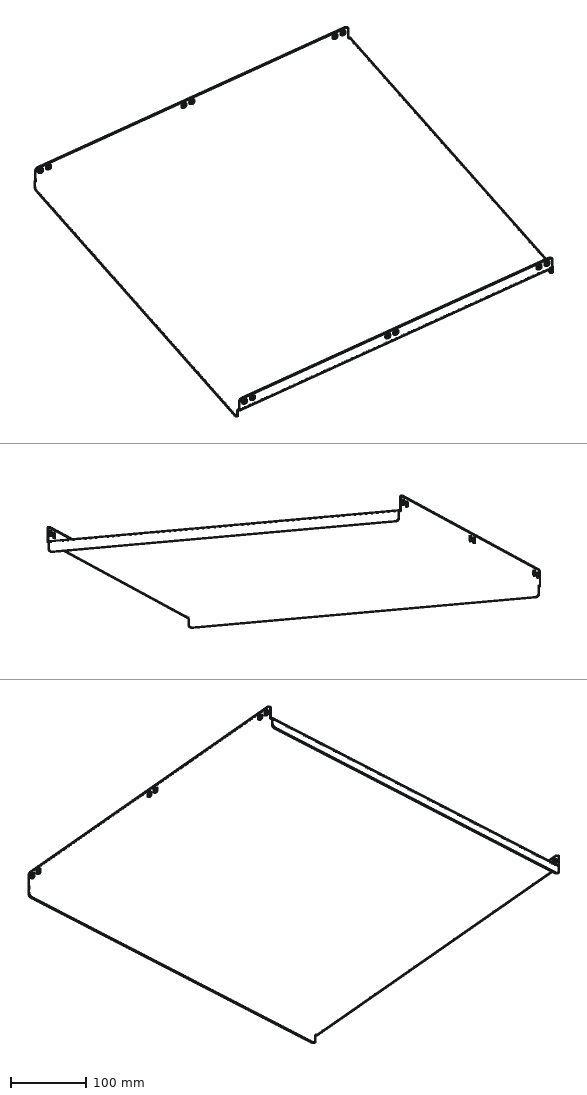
import cadquery as cq

LENGTH_X = 506.0
WIDTH_Y = 496.0

SHEET = 1.5
INNER_RADIUS = 1.0
OUTER_RADIUS = INNER_RADIUS + SHEET

SIDE_FLANGE = 22.0
END_FLANGE = 15.0
HEIGHT_Z = SIDE_FLANGE + END_FLANGE - SHEET

SIDE_FLANGE_LENGTH = WIDTH_Y - 2 * OUTER_RADIUS
END_FLANGE_LENGTH = LENGTH_X - 2 * OUTER_RADIUS
CORNER_RADIUS = 5.0

TOP = HEIGHT_Z / 2
PANEL_BOTTOM = TOP - SIDE_FLANGE
PANEL_TOP = PANEL_BOTTOM + SHEET

HOLE_DIAMETER = 7.2
HOLE_DROP = 8.0
HOLE_PITCH = 12.5
END_HOLE_Y = 237.5
HOLE_POSITIONS_Y = [
    END_HOLE_Y,
    END_HOLE_Y - HOLE_PITCH,
    0.0,
    -HOLE_PITCH,
    -END_HOLE_Y + HOLE_PITCH,
    -END_HOLE_Y,
]


def block(size_x, size_y, size_z):
    """Block centred in X and Y, standing on Z = 0."""
    return cq.Workplane("XY").box(size_x, size_y, size_z, centered=(True, True, False))


def channel(span, length, flange):
    """Sheet lying on Z = 0 with a flange folded up at its -X and +X edges, running along Y."""
    body = block(span, length, flange)
    body = body.faces("<Z").edges("|Y").fillet(OUTER_RADIUS)
    body = body.faces(">Z").edges("|X").fillet(CORNER_RADIUS)
    cavity = block(span - 2 * SHEET, length, flange)
    cavity = cavity.faces("<Z").edges("|Y").fillet(INNER_RADIUS)
    return body.cut(cavity.translate((0, 0, SHEET)))


def side_flanges():
    """Panel with the tall flanges folded upward at the -X and +X sides."""
    return channel(LENGTH_X, SIDE_FLANGE_LENGTH, SIDE_FLANGE).translate((0, 0, PANEL_BOTTOM))


def end_flanges():
    """Panel with the short flanges folded downward at the -Y and +Y ends."""
    upright = channel(WIDTH_Y, END_FLANGE_LENGTH, END_FLANGE)
    folded_down = upright.rotate((0, 0, 0), (1, 0, 0), 180)
    turned = folded_down.rotate((0, 0, 0), (0, 0, 1), 90)
    return turned.translate((0, 0, PANEL_TOP))


def side_holes():
    """Round cutters running along X through both side flanges."""
    centres = [(y, TOP - HOLE_DROP) for y in HOLE_POSITIONS_Y]
    return (
        cq.Workplane("YZ")
        .pushPoints(centres)
        .circle(HOLE_DIAMETER / 2)
        .extrude(LENGTH_X / 2, both=True)
    )


result = side_flanges().union(end_flanges()).cut(side_holes())